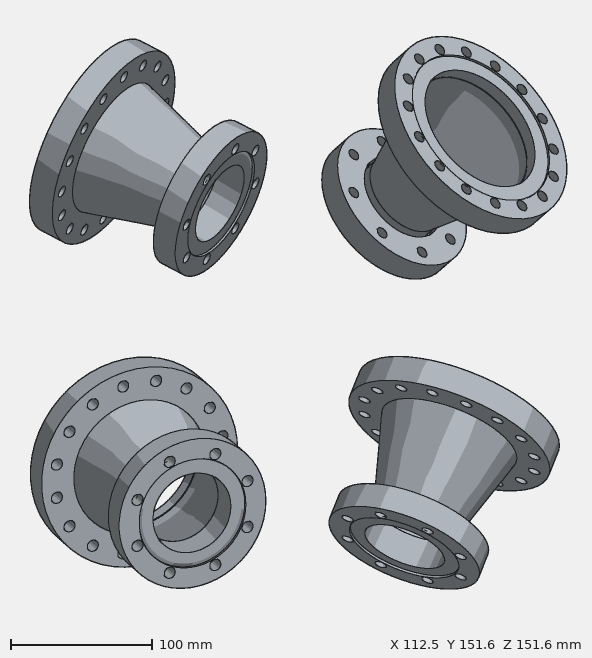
import cadquery as cq

total_length = 112.5
large_thickness = 19.9
small_thickness = 19.0
small_flange_start = total_length - small_thickness
wall = 1.7

large_diameter = 151.6
large_bore = 96.9
large_socket_depth = 11.0
large_bolt_circle = 130.4
large_bolt_count = 16
large_socket = 101.9
large_recess = 120.7
large_knife = 115.2

cone_large_diameter = 101.6
cone_small_diameter = 63.7
cone_start = 20.5
cone_end = 88.9

small_diameter = 113.6
small_bolt_circle = 92.0
small_bolt_count = 8
small_recess = 82.3
small_knife = 77.2
ring_bore = 66.7
ring_counterbore = 82.5
collar_thickness = 9.5
hub_diameter = 63.5
hub_bore = 60.2

bolt_hole = 8.5
knife_depth = 1.0
trench_depth = 1.8
rim_depth = 0.9


def revolve_about_x(outline):
    """Revolve a closed (x, radius) outline about the X axis."""
    return outline.close().revolve(360, (0, 0, 0), (1, 0, 0))


def tube(start, end, outer_diameter, inner_diameter):
    """Hollow cylinder between two X positions."""
    return (
        cq.Workplane("YZ", origin=(start, 0, 0))
        .circle(outer_diameter / 2)
        .circle(inner_diameter / 2)
        .extrude(end - start)
    )


def bolt_holes(start, end, bolt_circle, count):
    """Cutting cylinders, with the first hole half a pitch off the Y axis."""
    return (
        cq.Workplane("YZ", origin=(start, 0, 0))
        .polarArray(bolt_circle / 2, 180 / count, 360, count)
        .circle(bolt_hole / 2)
        .extrude(end - start)
    )


def make_large_flange():
    body = tube(0, large_thickness, large_diameter, large_bore)
    recess = revolve_about_x(
        cq.Workplane("XY")
        .lineTo(0, large_recess / 2)
        .lineTo(trench_depth, large_recess / 2)
        .lineTo(knife_depth, large_knife / 2)
        .lineTo(knife_depth, 0)
    )
    socket = cq.Workplane("YZ", origin=(large_socket_depth, 0, 0)).circle(large_socket / 2)
    socket = socket.extrude(large_thickness - large_socket_depth)
    holes = bolt_holes(0, large_thickness, large_bolt_circle, large_bolt_count)
    return body.cut(recess).cut(socket).cut(holes)


def make_reducer():
    large_outer = cone_large_diameter / 2
    small_outer = cone_small_diameter / 2
    return revolve_about_x(
        cq.Workplane("XY")
        .moveTo(large_socket_depth, large_outer)
        .lineTo(cone_start, large_outer)
        .lineTo(cone_end, small_outer)
        .lineTo(cone_end, small_outer - wall)
        .lineTo(cone_start, large_outer - wall)
        .lineTo(large_socket_depth, large_outer - wall)
    )


def make_weld_ring():
    """Hub welded to the reducer, with the sealing collar at its +X end."""
    hub = tube(cone_end, total_length, hub_diameter, hub_bore)
    collar = tube(total_length - rim_depth - collar_thickness, total_length, small_recess, hub_bore)
    face = revolve_about_x(
        cq.Workplane("XY")
        .moveTo(total_length, 0)
        .lineTo(total_length, small_recess / 2)
        .lineTo(total_length - trench_depth, small_recess / 2)
        .lineTo(total_length - knife_depth, small_knife / 2)
        .lineTo(total_length - knife_depth, 0)
    )
    return hub.union(collar).cut(face)


def make_bolt_ring():
    body = tube(small_flange_start, total_length, small_diameter, ring_bore)
    counterbore_start = total_length - rim_depth - collar_thickness
    counterbore = tube(counterbore_start, total_length, ring_counterbore, hub_bore)
    holes = bolt_holes(small_flange_start, total_length, small_bolt_circle, small_bolt_count)
    return body.cut(counterbore).cut(holes)


large_flange = make_large_flange()
reducer = make_reducer()
weld_ring = make_weld_ring()
bolt_ring = make_bolt_ring()

result = cq.Compound.makeCompound(
    [large_flange.val(), reducer.val(), weld_ring.val(), bolt_ring.val()]
)